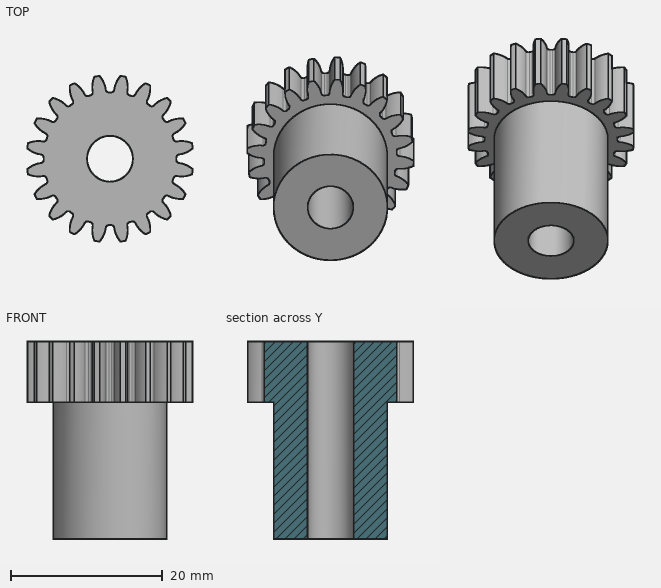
import cadquery as cq
import math

MODULE = 1.0
TEETH = 20
PRESSURE_ANGLE = math.radians(20)
ADDENDUM = 1.0 * MODULE
DEDENDUM = 1.25 * MODULE
ROOT_GAP = 1.03
ROOT_FILLET = 0.38 * MODULE
GEAR_WIDTH = 8.0
HUB_DIAMETER = 15.0
HUB_LENGTH = 18.0
BORE_DIAMETER = 6.0

PITCH_RADIUS = MODULE * TEETH / 2
TIP_RADIUS = PITCH_RADIUS + ADDENDUM
ROOT_RADIUS = PITCH_RADIUS - DEDENDUM
BASE_RADIUS = PITCH_RADIUS * math.cos(PRESSURE_ANGLE)
TOOTH_PITCH = 2 * math.pi / TEETH
TOTAL_HEIGHT = HUB_LENGTH + GEAR_WIDTH

PITCH_HALF_ANGLE = TOOTH_PITCH / 4
TIP_CONTACT_ANGLE = math.acos(BASE_RADIUS / TIP_RADIUS)
ROOT_HALF_ANGLE = TOOTH_PITCH / 2 - math.asin(ROOT_GAP / 2 / ROOT_RADIUS)


def involute(angle):
    return math.tan(angle) - angle


TIP_HALF_ANGLE = PITCH_HALF_ANGLE + involute(PRESSURE_ANGLE) - involute(TIP_CONTACT_ANGLE)


def polar(radius, angle):
    return (radius * math.cos(angle), radius * math.sin(angle))


def gear_outline():
    """Closed gear profile with arcs for flanks, tips and roots; a tooth space is centred on +X."""
    outline = cq.Workplane("XY").moveTo(*polar(ROOT_RADIUS, TOOTH_PITCH / 2 - ROOT_HALF_ANGLE))
    for i in range(TEETH):
        centre = (i + 0.5) * TOOTH_PITCH
        space = centre + TOOTH_PITCH / 2
        outline = (
            outline.threePointArc(
                polar(PITCH_RADIUS, centre - PITCH_HALF_ANGLE),
                polar(TIP_RADIUS, centre - TIP_HALF_ANGLE),
            )
            .threePointArc(
                polar(TIP_RADIUS, centre),
                polar(TIP_RADIUS, centre + TIP_HALF_ANGLE),
            )
            .threePointArc(
                polar(PITCH_RADIUS, centre + PITCH_HALF_ANGLE),
                polar(ROOT_RADIUS, centre + ROOT_HALF_ANGLE),
            )
            .threePointArc(
                polar(ROOT_RADIUS, space),
                polar(ROOT_RADIUS, centre + TOOTH_PITCH - ROOT_HALF_ANGLE),
            )
        )
    return outline.close()


def make_gear():
    """Toothed rim on top of the hub, with every tooth root corner filleted."""
    gear = gear_outline().extrude(GEAR_WIDTH)
    root_edges = [
        edge
        for edge in gear.edges("|Z").vals()
        if math.hypot(edge.Center().x, edge.Center().y) < PITCH_RADIUS
    ]
    filleted = gear.newObject(root_edges).fillet(ROOT_FILLET)
    return filleted.translate((0, 0, HUB_LENGTH))


def make_hub():
    return cq.Workplane("XY").circle(HUB_DIAMETER / 2).extrude(HUB_LENGTH)


def make_bore():
    return cq.Workplane("XY").circle(BORE_DIAMETER / 2).extrude(TOTAL_HEIGHT)


result = make_hub().union(make_gear()).cut(make_bore())